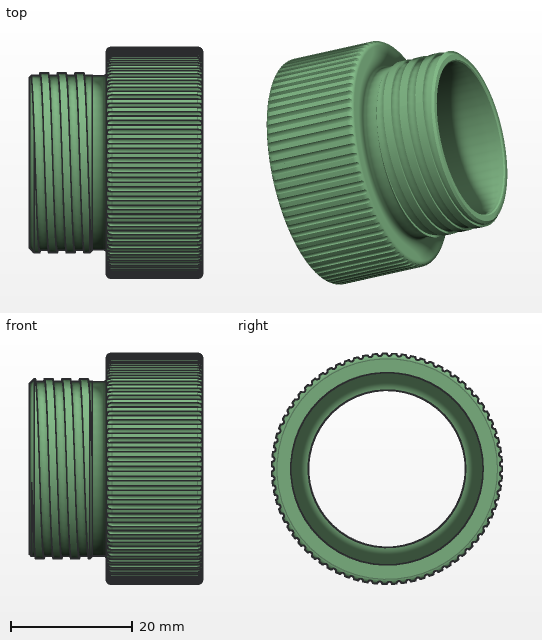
import cadquery as cq
import math

total_length = 28.57
grip_length = 15.87
grip_diameter = 38.1
grip_edge_radius = 0.85
grip_start = total_length - grip_length

knurl_count = 75
knurl_radius = 0.4

thread_major_diameter = 29.69
thread_root_diameter = 28.91
thread_pitch = 2.91
ridge_width = 1.36
ridge_phase = 2.44
thread_end = 10.4
entry_chamfer = 0.77
lead_in_turns = 2
cutter_clearance = 0.5

neck_diameter = 28.8
neck_fillet = 0.4

bore_diameter = 25.91
bore_chamfer = 0.2
socket_diameter = 31.75
bore_length = 16.15


def make_blank():
    """Revolved outside shape, before thread and knurl grooves are cut."""
    major_radius = thread_major_diameter / 2
    neck_radius = neck_diameter / 2
    grip_radius = grip_diameter / 2
    runout_chamfer = major_radius - neck_radius
    profile = (
        cq.Workplane("XY")
        .lineTo(0, major_radius - entry_chamfer)
        .lineTo(entry_chamfer, major_radius)
        .lineTo(thread_end - runout_chamfer, major_radius)
        .lineTo(thread_end, neck_radius)
        .lineTo(grip_start - neck_fillet, neck_radius)
        .radiusArc((grip_start, neck_radius + neck_fillet), -neck_fillet)
        .lineTo(grip_start, grip_radius - grip_edge_radius)
        .radiusArc((grip_start + grip_edge_radius, grip_radius), grip_edge_radius)
        .lineTo(total_length - grip_edge_radius, grip_radius)
        .radiusArc((total_length, grip_radius - grip_edge_radius), grip_edge_radius)
        .lineTo(total_length, 0)
        .close()
    )
    return profile.revolve(360, (0, 0, 0), (1, 0, 0))


def make_thread_groove():
    """Helical square groove between the ridges, ending where the neck begins."""
    root_radius = thread_root_diameter / 2
    groove_width = thread_pitch - ridge_width
    groove_depth = thread_major_diameter / 2 - root_radius + cutter_clearance
    start = ridge_phase + thread_pitch / 2 - lead_in_turns * thread_pitch
    turns = math.ceil((thread_end - start) / thread_pitch) + 1

    path = cq.Workplane(cq.Wire.makeHelix(thread_pitch, turns * thread_pitch, root_radius))
    groove = (
        cq.Workplane("XZ")
        .center(root_radius + groove_depth / 2, 0)
        .rect(groove_depth, groove_width)
        .sweep(path, isFrenet=True)
        .rotate((0, 0, 0), (1, 1, 1), 360 / 3)
        .translate((start, 0, 0))
    )
    limit = cq.Workplane("YZ").workplane(offset=start).circle(grip_diameter).extrude(thread_end - start)
    return groove.intersect(limit)


def make_knurl_grooves():
    """Ring of round-bottomed grooves, with a land centred on the +Y side."""
    pitch_angle = 360 / knurl_count
    return (
        cq.Workplane("YZ")
        .workplane(offset=grip_start)
        .polarArray(grip_diameter / 2, pitch_angle / 2, 360, knurl_count)
        .circle(knurl_radius)
        .extrude(grip_length)
    )


def make_interior():
    """Through bore with a chamfered mouth, opening into a wider socket."""
    bore_radius = bore_diameter / 2
    socket_radius = socket_diameter / 2
    profile = (
        cq.Workplane("XY")
        .lineTo(0, bore_radius + bore_chamfer)
        .lineTo(bore_chamfer, bore_radius)
        .lineTo(bore_length, bore_radius)
        .lineTo(bore_length, socket_radius)
        .lineTo(total_length, socket_radius)
        .lineTo(total_length, 0)
        .close()
    )
    return profile.revolve(360, (0, 0, 0), (1, 0, 0))


result = make_blank().cut(make_thread_groove()).cut(make_knurl_grooves()).cut(make_interior())